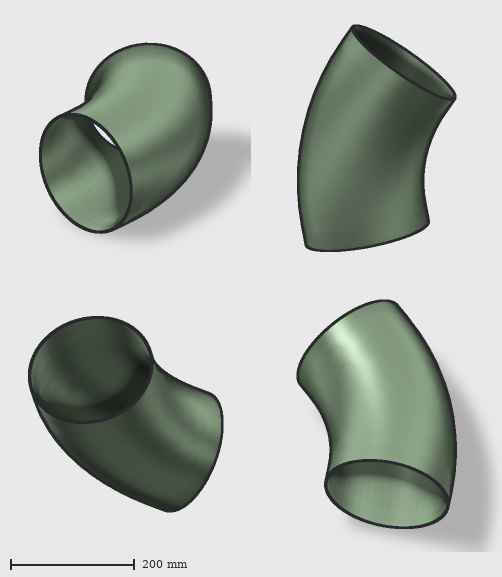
import cadquery as cq
import math

overall_length = 338.5
outer_diameter = 203.0
inner_diameter = 199.0
collar_length = 30.0
bend_angle = 45.0

angle = math.radians(bend_angle)
outer_radius = outer_diameter / 2
collars_along_y = collar_length * (1 + math.cos(angle))
bend_radius = (overall_length - collars_along_y) / math.sin(angle) - outer_radius


def bend_point(turn):
    """Point on the bend centreline after turning by the given angle in radians."""
    return (
        bend_radius * (math.cos(turn) - 1),
        collar_length + bend_radius * math.sin(turn),
    )


def elbow_centreline():
    """Straight collar, circular bend and second collar in the XY plane."""
    bend_end_x, bend_end_y = bend_point(angle)
    far_end = (
        bend_end_x - collar_length * math.sin(angle),
        bend_end_y + collar_length * math.cos(angle),
    )
    return (
        cq.Workplane("XY")
        .lineTo(0, collar_length)
        .threePointArc(bend_point(angle / 2), bend_point(angle))
        .lineTo(*far_end)
    )


result = (
    cq.Workplane("XZ")
    .circle(outer_diameter / 2)
    .circle(inner_diameter / 2)
    .sweep(elbow_centreline())
)